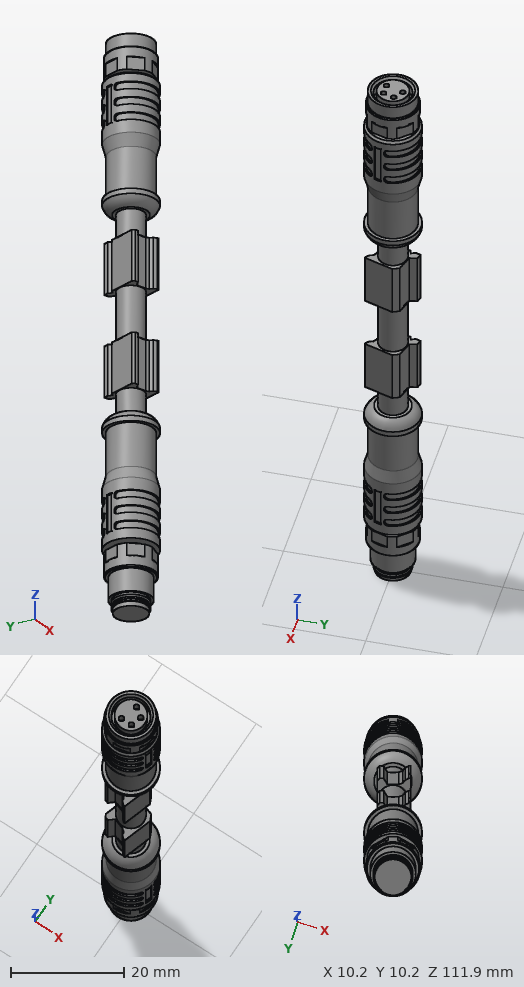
import cadquery as cq
import math

TOTAL_LENGTH = 111.9
KEY_ANGLE = 162.0

CABLE_RADIUS = 2.7

GRIP_RADIUS = 5.1
GRIP_LENGTH = 25.8
BARREL_RADIUS = 4.5
BOOT_RADIUS = 3.4
BOOT_HEIGHT = 1.8
BOOT_BULGE = 0.2
FLANGE_TOP = 2.8
TAPER_START = 11.4
TAPER_END = 13.9
UPPER_GRIP_BASE = 78.3
LOWER_GRIP_BASE = 38.3
UPPER_GRIP_CHAMFER = 0.5

GROOVE_COUNT = 3
GROOVE_START = 16.3
GROOVE_WIDTH = 1.5
GROOVE_PITCH = 3.0
GROOVE_DEPTH = 0.3
WEB_WIDTH = 2.5
WINDOW_WIDTH = 1.3

NUT_RADIUS = 4.8
NUT_LENGTH = 4.6
NUT_CHAMFER = 0.2
NUT_FLATS = 6
FLAT_DEPTH = 0.28
FLAT_DISTANCE = NUT_RADIUS - FLAT_DEPTH
FLAT_LENGTH = 2.5
UPPER_NUT_BASE = 104.7
LOWER_NUT_TOP = 11.6
NECK_RADIUS = 3.2

SOCKET_RADIUS = 4.5
SOCKET_BORE_RADIUS = 3.5
SOCKET_LIP_RADIUS = 3.9
SOCKET_LIP_DEPTH = 0.5
INSERT_RADIUS = 2.9
SOCKET_DEPTH = 2.2
CONTACT_POSITIONS = 5
CONTACT_CIRCLE_RADIUS = 1.8
CONTACT_RADIUS = 0.5
CONTACT_DEPTH = 3.4

PLUG_RADIUS = 4.0
PLUG_SHOULDER = 2.6
PLUG_TIP_RADIUS = 3.2
SNAP_RIDGE_HEIGHT = 0.28
PLUG_STEP_RADIUS = PLUG_TIP_RADIUS + SNAP_RIDGE_HEIGHT
PLUG_STEP_END = 2.1
SNAP_GROOVE_TOP = 1.8
SNAP_GROOVE_BOTTOM = 1.5
SNAP_RIDGE_TOP = 1.2
SNAP_RIDGE_BOTTOM = 0.9

CLIP_LENGTH = 10.1
CLIP_BASES = (43.1, 63.2)
CLIP_PROFILE = [
    (2.8, -4.0),
    (2.8, -3.0),
    (2.2, -2.3),
    (2.8, -1.9),
    (2.8, 3.5),
    (2.3, 3.9),
    (1.7, 3.9),
    (1.0, 2.8),
    (-1.0, 2.8),
    (-1.7, 3.0),
    (-2.1, 3.6),
    (-2.8, 3.9),
    (-3.1, 3.9),
    (-3.1, -1.8),
    (-2.2, -2.8),
    (1.0, -2.8),
    (1.7, -4.0),
]


def cylinder(radius, bottom, top):
    return cq.Workplane("XY").workplane(offset=bottom).circle(radius).extrude(top - bottom)


def ring(outer_radius, inner_radius, bottom, top):
    return cylinder(outer_radius, bottom, top).cut(cylinder(inner_radius, bottom, top))


def keyed_box(near, far, width, bottom, top, angle):
    """Box reaching radially from near to far in the direction of angle."""
    return (
        cq.Workplane("XY")
        .box(far - near, width, top - bottom, centered=(False, True, False))
        .translate((near, 0, bottom))
        .rotate((0, 0, 0), (0, 0, 1), angle)
    )


def make_groove(bottom, floor_radius):
    """Ring-shaped cutter, interrupted by two opposite webs and rounded at its ends."""
    top = bottom + GROOVE_WIDTH
    end_radius = GROOVE_WIDTH / 2
    end_offset = WEB_WIDTH / 2 + end_radius
    web = keyed_box(-GRIP_RADIUS, GRIP_RADIUS, 2 * end_offset, bottom, top, 0)
    groove_ends = (
        cq.Workplane("YZ")
        .pushPoints([(-end_offset, bottom + end_radius), (end_offset, bottom + end_radius)])
        .circle(end_radius)
        .extrude(GRIP_RADIUS, both=True)
    )
    web = web.cut(groove_ends).rotate((0, 0, 0), (0, 0, 1), KEY_ANGLE)
    return ring(GRIP_RADIUS, floor_radius, bottom, top).cut(web)


def make_grip():
    """Grip standing on Z = 0 with its cable end down."""
    boot_middle = ((BOOT_RADIUS + GRIP_RADIUS) / 2 + BOOT_BULGE, BOOT_HEIGHT / 2 - BOOT_BULGE)
    grip = (
        cq.Workplane("XZ")
        .lineTo(BOOT_RADIUS, 0)
        .threePointArc(boot_middle, (GRIP_RADIUS, BOOT_HEIGHT))
        .lineTo(GRIP_RADIUS, FLANGE_TOP)
        .lineTo(BARREL_RADIUS, FLANGE_TOP)
        .lineTo(BARREL_RADIUS, TAPER_START)
        .lineTo(GRIP_RADIUS, TAPER_END)
        .lineTo(GRIP_RADIUS, GRIP_LENGTH)
        .lineTo(0, GRIP_LENGTH)
        .close()
        .revolve(360, (0, 0, 0), (0, 1, 0))
    )

    floor_radius = GRIP_RADIUS - GROOVE_DEPTH
    grooves_end = GROOVE_START + (GROOVE_COUNT - 1) * GROOVE_PITCH + GROOVE_WIDTH
    for index in range(GROOVE_COUNT):
        grip = grip.cut(make_groove(GROOVE_START + index * GROOVE_PITCH, floor_radius))

    for angle in (KEY_ANGLE, KEY_ANGLE + 180):
        window = keyed_box(floor_radius, GRIP_RADIUS, WINDOW_WIDTH, GROOVE_START, grooves_end, angle)
        grip = grip.cut(window)
    return grip


def make_nut():
    """Coupling nut standing on Z = 0 with the open ends of its flats down."""
    nut = cylinder(NUT_RADIUS, 0, NUT_LENGTH).faces(">Z").chamfer(NUT_CHAMFER)
    for index in range(NUT_FLATS):
        angle = KEY_ANGLE + index * 360 / NUT_FLATS
        nut = nut.cut(keyed_box(FLAT_DISTANCE, 2 * NUT_RADIUS, 2 * NUT_RADIUS, 0, FLAT_LENGTH, angle))
    return nut


def make_socket():
    """Socket face above the upper nut, with the neck that reaches down to the grip."""
    neck_bottom = UPPER_GRIP_BASE + GRIP_LENGTH
    neck_top = UPPER_NUT_BASE + FLAT_LENGTH
    neck = cylinder(NECK_RADIUS, neck_bottom, neck_top)
    socket = neck.union(cylinder(SOCKET_RADIUS, neck_top, TOTAL_LENGTH))

    cavity = (
        cq.Workplane("XZ")
        .moveTo(INSERT_RADIUS, TOTAL_LENGTH)
        .lineTo(SOCKET_LIP_RADIUS, TOTAL_LENGTH)
        .lineTo(SOCKET_BORE_RADIUS, TOTAL_LENGTH - SOCKET_LIP_DEPTH)
        .lineTo(SOCKET_BORE_RADIUS, TOTAL_LENGTH - SOCKET_DEPTH)
        .lineTo(INSERT_RADIUS, TOTAL_LENGTH - SOCKET_DEPTH)
        .close()
        .revolve(360, (0, 0, 0), (0, 1, 0))
    )
    socket = socket.cut(cavity)

    for index in range(1, CONTACT_POSITIONS):
        angle = math.radians(KEY_ANGLE + index * 360 / CONTACT_POSITIONS)
        x = CONTACT_CIRCLE_RADIUS * math.cos(angle)
        y = CONTACT_CIRCLE_RADIUS * math.sin(angle)
        hole = cylinder(CONTACT_RADIUS, TOTAL_LENGTH - CONTACT_DEPTH, TOTAL_LENGTH)
        socket = socket.cut(hole.translate((x, y, 0)))
    return socket


def make_plug():
    """Plug below the lower nut, with the neck that reaches up to the grip."""
    nut_bottom = LOWER_NUT_TOP - NUT_LENGTH
    grip_end = LOWER_GRIP_BASE - GRIP_LENGTH
    return (
        cq.Workplane("XZ")
        .lineTo(PLUG_TIP_RADIUS, 0)
        .lineTo(PLUG_TIP_RADIUS, SNAP_RIDGE_BOTTOM)
        .lineTo(PLUG_STEP_RADIUS, SNAP_RIDGE_BOTTOM)
        .lineTo(PLUG_STEP_RADIUS, SNAP_RIDGE_TOP)
        .lineTo(PLUG_TIP_RADIUS, SNAP_GROOVE_BOTTOM)
        .lineTo(PLUG_TIP_RADIUS, SNAP_GROOVE_TOP)
        .lineTo(PLUG_STEP_RADIUS, PLUG_STEP_END)
        .lineTo(PLUG_STEP_RADIUS, PLUG_SHOULDER)
        .lineTo(PLUG_RADIUS, PLUG_SHOULDER)
        .lineTo(PLUG_RADIUS, nut_bottom)
        .lineTo(NECK_RADIUS, nut_bottom)
        .lineTo(NECK_RADIUS, grip_end)
        .lineTo(0, grip_end)
        .close()
        .revolve(360, (0, 0, 0), (0, 1, 0))
    )


def make_clip(bottom):
    """Marker carrier around the cable, its label face turned to the key direction."""
    outline = cq.Workplane("XY").workplane(offset=bottom).polyline(CLIP_PROFILE).close()
    return outline.extrude(CLIP_LENGTH).rotate((0, 0, 0), (0, 0, 1), KEY_ANGLE)


upper_grip = make_grip().faces(">Z").edges("%CIRCLE").chamfer(UPPER_GRIP_CHAMFER)
upper_grip = upper_grip.translate((0, 0, UPPER_GRIP_BASE))
lower_grip = make_grip().mirror("XY").translate((0, 0, LOWER_GRIP_BASE))

upper_nut = make_nut().translate((0, 0, UPPER_NUT_BASE))
lower_nut = make_nut().mirror("XY").translate((0, 0, LOWER_NUT_TOP))

result = cylinder(CABLE_RADIUS, LOWER_GRIP_BASE, UPPER_GRIP_BASE)
for piece in (upper_grip, lower_grip, make_socket(), make_plug(), upper_nut, lower_nut):
    result = result.union(piece)
for clip_base in CLIP_BASES:
    result = result.union(make_clip(clip_base))